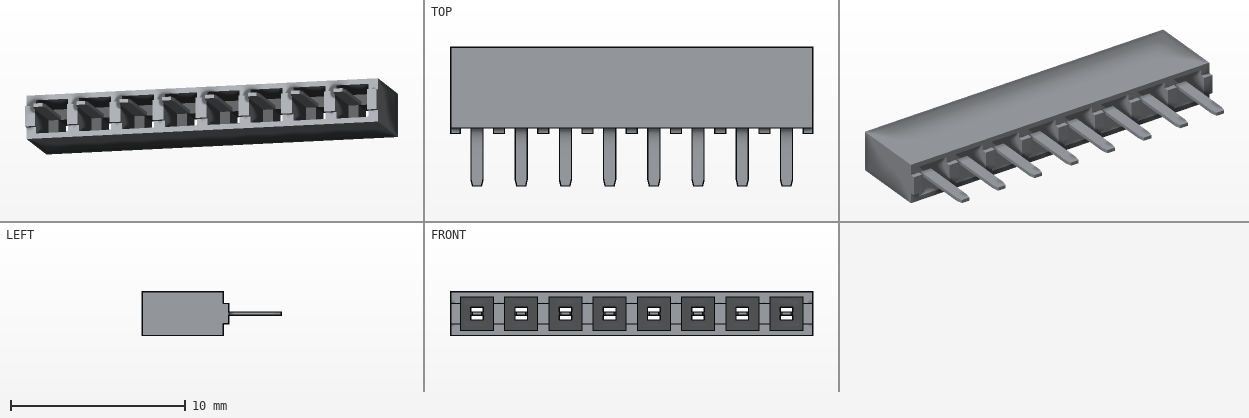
import cadquery as cq

contact_count = 8
pitch = 2.55

housing_length = 20.82
housing_depth = 4.66
housing_height = 2.55

rib_height = 1.19
rib_depth = 0.31

pocket_width = 1.9
pocket_height = 1.94
pocket_depth = 2.91
opening_size = 0.7

pin_width = 0.7
pin_start = 0.7
pin_thickness = 0.2
pin_tip_width = 0.52
pin_taper_length = 0.4
pin_reach = 3.33

contact_positions = [(i - (contact_count - 1) / 2) * pitch for i in range(contact_count)]


def block(width, height, y_start, y_end, x_center=0.0):
    """Rectangular block centred on Z = 0 that spans y_start to y_end."""
    depth = y_end - y_start
    return cq.Workplane("XY").box(width, depth, height).translate((x_center, y_start + depth / 2, 0))


def make_housing():
    """Block with a standoff strip, which the pockets cut into separate ribs."""
    body = block(housing_length, housing_height, 0, housing_depth)
    body = body.union(block(housing_length, rib_height, -rib_depth, 0))
    for x in contact_positions:
        body = body.cut(block(pocket_width, pocket_height, -rib_depth, pocket_depth, x))
        body = body.cut(block(opening_size, opening_size, pocket_depth, housing_depth, x))
    return body


def make_pin(x):
    """Flat pin from inside the pocket to a tail with a narrowed tip."""
    half_width = pin_width / 2
    half_tip = pin_tip_width / 2
    taper_start = pin_taper_length - pin_reach
    outline = [
        (-half_width, pin_start),
        (-half_width, taper_start),
        (-half_tip, -pin_reach),
        (half_tip, -pin_reach),
        (half_width, taper_start),
        (half_width, pin_start),
    ]
    pin = cq.Workplane("XY").polyline(outline).close().extrude(pin_thickness / 2, both=True)
    return pin.translate((x, 0, 0))


housing = make_housing()
pins = [make_pin(x) for x in contact_positions]

result = cq.Compound.makeCompound([housing.val(), *[pin.val() for pin in pins]])